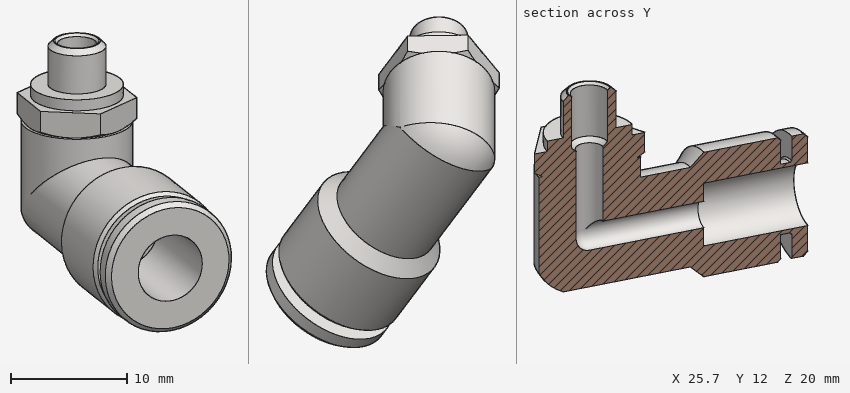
import cadquery as cq
import math

LENGTH = 25.7
HEIGHT = 20.0

HEX_FLATS = 9.0
HEX_CORNERS = HEX_FLATS / math.cos(math.radians(30))
HEX_BOTTOM = 6.7
HEX_HEIGHT = 2.31
HEX_TOP = HEX_BOTTOM + HEX_HEIGHT
HEX_CHAMFER_ANGLE = 30
CONE_CLEARANCE = 0.25

BODY_DIAMETER = 12.0
SHOULDER_START = 9.45
BODY_START = 10.72
BODY_END = 17.96
BODY_EDGE_CHAMFER = 0.3
NECK_DIAMETER = 6.8
NECK_FLARE_LENGTH = 0.15
RING_DIAMETER = 11.8
RING_WIDTH = 1.55
RING_CHAMFER = 0.4
RING_END = LENGTH - HEX_CORNERS / 2
RING_START = RING_END - RING_WIDTH

STEM_DIAMETER = 5.0
STEM_CHAMFER = 0.5
STEM_TOP = HEIGHT - BODY_DIAMETER / 2
COLLAR_DIAMETER = 8.0
COLLAR_HEIGHT = 1.0

ELBOW_DIAMETER = 9.6
ELBOW_RADIUS = ELBOW_DIAMETER / 2
CORNER_SPHERE_RADIUS = 4.78
CORNER_SPHERE_OFFSET = 0.45
CORNER_START = 1.41

PASSAGE_DIAMETER = 2.5
STEM_BORE_DIAMETER = 3.35
STEM_BORE_DEPTH = 5.15
STEM_MOUTH_CHAMFER = 0.23
SOCKET_DIAMETER = 6.0


def cylinder_z(diameter, bottom, top):
    return cq.Workplane("XY").workplane(offset=bottom).circle(diameter / 2).extrude(top - bottom)


def cylinder_x(diameter, start, end):
    return cq.Workplane("YZ").workplane(offset=start).circle(diameter / 2).extrude(end - start)


def sphere_at(radius, x, z):
    return cq.Workplane("XY").sphere(radius).translate((x, 0, z))


def make_elbow():
    """Two equal cylinders joined on a 45 degree mitre, with a domed outer corner."""
    reach = SHOULDER_START
    upper_half = (
        cq.Workplane("XZ")
        .polyline([(-reach, -reach), (reach, reach), (-reach, reach)])
        .close()
        .extrude(ELBOW_RADIUS * 2, both=True)
    )
    leg = cylinder_z(ELBOW_DIAMETER, -reach, HEX_BOTTOM).intersect(upper_half)
    arm = cylinder_x(ELBOW_DIAMETER, -reach, SHOULDER_START).cut(upper_half)
    corner = (
        cq.Workplane("XY")
        .box(reach, ELBOW_DIAMETER * 2, reach)
        .translate((-CORNER_START - reach / 2, 0, -CORNER_START - reach / 2))
    )
    dome = sphere_at(CORNER_SPHERE_RADIUS, -CORNER_SPHERE_OFFSET, -CORNER_SPHERE_OFFSET)
    return leg.union(arm).cut(corner.cut(dome))


def make_hex_nut():
    """Hexagon with corners on the X axis, its lower corners coned away."""
    blank = (
        cq.Workplane("XY").workplane(offset=HEX_BOTTOM).polygon(6, HEX_CORNERS).extrude(HEX_HEIGHT)
    )
    cone_run = (HEX_CORNERS - HEX_FLATS) / 2 + CONE_CLEARANCE
    cone_rise = cone_run * math.tan(math.radians(HEX_CHAMFER_ANGLE))
    envelope = (
        cq.Workplane("XZ")
        .moveTo(0, HEX_BOTTOM)
        .lineTo(HEX_FLATS / 2, HEX_BOTTOM)
        .lineTo(HEX_FLATS / 2 + cone_run, HEX_BOTTOM + cone_rise)
        .lineTo(HEX_FLATS / 2 + cone_run, HEX_TOP)
        .lineTo(0, HEX_TOP)
        .close()
        .revolve(360, (0, 0, 0), (0, 1, 0))
    )
    return blank.intersect(envelope)


def make_stem():
    collar = cylinder_z(COLLAR_DIAMETER, HEX_TOP, HEX_TOP + COLLAR_HEIGHT)
    stem = cylinder_z(STEM_DIAMETER, HEX_TOP, STEM_TOP).faces(">Z").chamfer(STEM_CHAMFER)
    return collar.union(stem)


def make_socket_body():
    """Shouldered body, narrow neck and release ring turned about the X axis."""
    body_radius = BODY_DIAMETER / 2
    neck_radius = NECK_DIAMETER / 2
    ring_radius = RING_DIAMETER / 2
    profile = [
        (SHOULDER_START, 0),
        (SHOULDER_START, ELBOW_RADIUS),
        (BODY_START, body_radius),
        (BODY_END - BODY_EDGE_CHAMFER, body_radius),
        (BODY_END, body_radius - BODY_EDGE_CHAMFER),
        (BODY_END, neck_radius),
        (RING_START - NECK_FLARE_LENGTH, neck_radius),
        (RING_START, neck_radius + NECK_FLARE_LENGTH),
        (RING_START, ring_radius),
        (RING_END - RING_CHAMFER, ring_radius),
        (RING_END, ring_radius - RING_CHAMFER),
        (RING_END, 0),
    ]
    return cq.Workplane("XZ").polyline(profile).close().revolve(360, (0, 0, 0), (1, 0, 0))


def make_passage():
    """Stepped stem bore meeting a round-ended horizontal bore that opens into the tube socket."""
    passage_radius = PASSAGE_DIAMETER / 2
    bore_radius = STEM_BORE_DIAMETER / 2
    bore_floor = STEM_TOP - STEM_BORE_DEPTH
    cone_end = bore_floor - (bore_radius - passage_radius)
    stem_bore = (
        cq.Workplane("XZ")
        .moveTo(0, 0)
        .lineTo(passage_radius, 0)
        .lineTo(passage_radius, cone_end)
        .lineTo(bore_radius, bore_floor)
        .lineTo(bore_radius, STEM_TOP - STEM_MOUTH_CHAMFER)
        .lineTo(bore_radius + STEM_MOUTH_CHAMFER, STEM_TOP)
        .lineTo(0, STEM_TOP)
        .close()
        .revolve(360, (0, 0, 0), (0, 1, 0))
    )
    tube_bore = cylinder_x(PASSAGE_DIAMETER, 0, RING_END)
    socket = cylinder_x(SOCKET_DIAMETER, BODY_START, RING_END)
    return stem_bore.union(sphere_at(passage_radius, 0, 0)).union(tube_bore).union(socket)


result = (
    make_elbow()
    .union(make_hex_nut())
    .union(make_stem())
    .union(make_socket_body())
    .cut(make_passage())
)